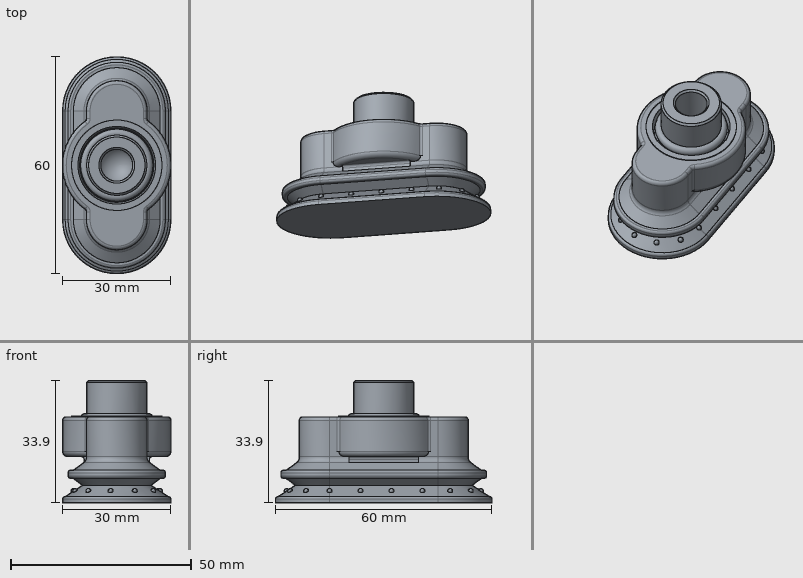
import cadquery as cq
import math

OVAL_LENGTH = 60.0
OVAL_WIDTH = 30.0
END_OFFSET = (OVAL_LENGTH - OVAL_WIDTH) / 2

MARGIN = 0.6

LIP_EDGE_TOP = 1.75
NECK_Z = 4.85
RIB_BOTTOM = 6.8
RIB_TOP = 9.05
CONE_TOP = 11.2
WALL_BOTTOM = 12.8
CUP_TOP = 23.8
FLANGE_TOP = 24.0
SEAL_TOP = 24.7
FITTING_TOP = 33.85

LIP_R = OVAL_WIDTH / 2
NECK_R = 19.0 / 2
RIB_R = 26.95 / 2
RIB_FOOT_UNDER = 12.05
RIB_FOOT_TOP = 12.0
CONE_TOP_R = 9.05
LOBE_R = 16.8 / 2

EDGE_ROUND = 0.7
TOP_ROUND = 1.0
BOSS_BOTTOM_ROUND = 1.5
CORNER_ROUND = 0.9

BOSS_R = 15.0

WEB_R = CONE_TOP_R
WEB_ROUND = 0.7
WEB_HALF_LENGTH = 9.6

BUMP_COUNT = 18
BUMP_R = 0.7
BUMP_PATH_R = 11.95

FLANGE_R = 25.0 / 2
GROOVE_R = 21.5 / 2
GROOVE_FLOOR_R = 20.5 / 2
TUBE_R = 16.7 / 2
BORE_R = 8.8 / 2
TUBE_CHAMFER = 0.55

SEAL_INNER_R = 14.95 / 2
SEAL_SECTION_R = 1.25
SEAL_Z = SEAL_TOP - SEAL_SECTION_R
GROOVE_FLOOR = SEAL_Z - SEAL_SECTION_R

FILTER_R = 11.0 / 2
FILTER_INNER_R = 10.6 / 2
FILTER_Z = WALL_BOTTOM + BOSS_BOTTOM_ROUND + FILTER_R
FITTING_BOTTOM = FILTER_Z - FILTER_R


def oval_solid(profile):
    """Carry a closed half-profile (distance from the mid line, Z) around the oval path."""
    outline = cq.Workplane("XZ").add(profile.val()).toPending()
    straight = outline.extrude(END_OFFSET, both=True)
    straight = straight.union(straight.mirror("YZ"))
    end = cq.Workplane("XZ").add(profile.val()).toPending().revolve(360, (0, 0), (0, 1))
    for y in (-END_OFFSET, END_OFFSET):
        straight = straight.union(end.translate((0, y, 0)))
    return straight


def make_lip():
    profile = (
        cq.Workplane("XZ")
        .lineTo(LIP_R, 0)
        .lineTo(LIP_R, LIP_EDGE_TOP - EDGE_ROUND)
        .tangentArcPoint((LIP_R - EDGE_ROUND, LIP_EDGE_TOP), relative=False)
        .lineTo(NECK_R, NECK_Z)
        .lineTo(0, NECK_Z)
        .close()
    )
    lip = oval_solid(profile)
    for x, y in bump_places():
        lip = lip.union(cq.Workplane("XY").sphere(BUMP_R).translate((x, y, bump_height())))
    return lip


def bump_height():
    """Height of the sloping lip face at the bump path."""
    slope_r = LIP_R - EDGE_ROUND
    share = (slope_r - BUMP_PATH_R) / (slope_r - NECK_R)
    return LIP_EDGE_TOP + share * (NECK_Z - LIP_EDGE_TOP)


def bump_places():
    """Equal steps along the outer edge of the lip, from a tangent point of the outline."""
    straight = 2 * END_OFFSET
    half_outline = straight + math.pi * LIP_R
    step = 2 * half_outline / BUMP_COUNT
    places = []
    for i in range(BUMP_COUNT // 2):
        run = i * step
        if run < straight:
            x, y = BUMP_PATH_R, run - END_OFFSET
        else:
            angle = (run - straight) / LIP_R
            x = BUMP_PATH_R * math.cos(angle)
            y = END_OFFSET + BUMP_PATH_R * math.sin(angle)
        places += [(x, y), (-x, -y)]
    return places


def make_bellows():
    """Lower part of the cup: neck, outer rib and the cone up to the lobes."""
    profile = (
        cq.Workplane("XZ")
        .moveTo(0, NECK_Z)
        .lineTo(NECK_R, NECK_Z)
        .lineTo(RIB_FOOT_UNDER, RIB_BOTTOM)
        .lineTo(RIB_R - EDGE_ROUND, RIB_BOTTOM)
        .tangentArcPoint((RIB_R, RIB_BOTTOM + EDGE_ROUND), relative=False)
        .lineTo(RIB_R, RIB_TOP - EDGE_ROUND)
        .tangentArcPoint((RIB_R - EDGE_ROUND, RIB_TOP), relative=False)
        .lineTo(RIB_FOOT_TOP, RIB_TOP)
        .lineTo(CONE_TOP_R, CONE_TOP)
        .tangentArcPoint((LOBE_R, WALL_BOTTOM), relative=False)
        .lineTo(0, WALL_BOTTOM)
        .close()
    )
    return oval_solid(profile)


def wall_cylinder(radius):
    """Round disc with the height of the cup wall."""
    return cq.Workplane("XY", origin=(0, 0, WALL_BOTTOM)).circle(radius).extrude(CUP_TOP - WALL_BOTTOM)


def make_upper_body():
    """Oval lobes crossed by the round boss, with rounded inner corners and edges."""
    lobes = (
        cq.Workplane("XY", origin=(0, 0, WALL_BOTTOM))
        .slot2D(2 * (END_OFFSET + LOBE_R), 2 * LOBE_R, 90)
        .extrude(CUP_TOP - WALL_BOTTOM)
    )
    body = lobes.union(wall_cylinder(BOSS_R))
    corner_y = math.sqrt(BOSS_R**2 - LOBE_R**2)
    corner_box = cq.selectors.BoxSelector(
        (-LOBE_R - MARGIN, -corner_y - MARGIN, WALL_BOTTOM),
        (LOBE_R + MARGIN, corner_y + MARGIN, CUP_TOP),
    )
    body = body.edges("|Z").edges(corner_box).fillet(CORNER_ROUND)
    body = body.faces(">Z").edges().fillet(TOP_ROUND)
    rounded_boss = wall_cylinder(BOSS_R).faces("<Z").edges().fillet(BOSS_BOTTOM_ROUND)
    under_edge = (
        cq.Workplane("XY", origin=(0, 0, WALL_BOTTOM))
        .circle(BOSS_R + CORNER_ROUND)
        .extrude(BOSS_BOTTOM_ROUND)
        .cut(rounded_boss)
        .cut(lobes)
    )
    return body.cut(under_edge)


def make_boss_web():
    """Thickened neck under the boss, rounded into the underside of the boss."""
    half = (
        cq.Workplane("XZ")
        .moveTo(0, CONE_TOP)
        .lineTo(WEB_R, CONE_TOP)
        .lineTo(WEB_R, WALL_BOTTOM - WEB_ROUND)
        .tangentArcPoint((WEB_R + WEB_ROUND, WALL_BOTTOM), relative=False)
        .lineTo(0, WALL_BOTTOM)
        .close()
        .extrude(WEB_HALF_LENGTH, both=True)
    )
    return half.union(half.mirror("YZ"))


def make_cup():
    pocket = (
        cq.Workplane("XY", origin=(0, 0, FITTING_BOTTOM))
        .circle(FLANGE_R)
        .extrude(FLANGE_TOP - FITTING_BOTTOM)
    )
    return make_bellows().union(make_boss_web()).union(make_upper_body()).cut(pocket)


def make_fitting():
    return (
        cq.Workplane("XZ")
        .moveTo(FILTER_R, FITTING_BOTTOM)
        .lineTo(FLANGE_R, FITTING_BOTTOM)
        .lineTo(FLANGE_R, FLANGE_TOP)
        .lineTo(GROOVE_R, FLANGE_TOP)
        .lineTo(GROOVE_FLOOR_R, GROOVE_FLOOR)
        .lineTo(SEAL_INNER_R, GROOVE_FLOOR)
        .lineTo(SEAL_INNER_R, SEAL_TOP)
        .lineTo(TUBE_R, SEAL_TOP)
        .lineTo(TUBE_R, FITTING_TOP - TUBE_CHAMFER)
        .lineTo(TUBE_R - TUBE_CHAMFER, FITTING_TOP)
        .lineTo(BORE_R + TUBE_CHAMFER, FITTING_TOP)
        .lineTo(BORE_R, FITTING_TOP - TUBE_CHAMFER)
        .lineTo(BORE_R, FILTER_Z)
        .lineTo(FILTER_R, FILTER_Z)
        .close()
        .revolve(360, (0, 0), (0, 1))
    )


def make_seal():
    return (
        cq.Workplane("XZ")
        .moveTo(SEAL_INNER_R + SEAL_SECTION_R, SEAL_Z)
        .circle(SEAL_SECTION_R)
        .revolve(360, (0, 0), (0, 1))
    )


def make_filter():
    bowl = cq.Workplane("XY").sphere(FILTER_R).cut(cq.Workplane("XY").sphere(FILTER_INNER_R))
    lower_half = cq.Workplane("XY").circle(FILTER_R + MARGIN).extrude(-FILTER_R - MARGIN)
    return bowl.intersect(lower_half).translate((0, 0, FILTER_Z))


lip = make_lip()
cup = make_cup()
fitting = make_fitting()
seal = make_seal()
mesh_filter = make_filter()

result = cq.Compound.makeCompound([lip.val(), cup.val(), fitting.val(), seal.val(), mesh_filter.val()])